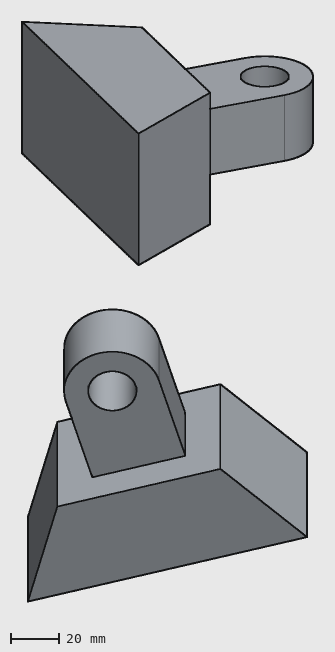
import cadquery as cq
import math

block_width = 120.0
block_height = 60.0
side_inset = 25.0
side_angle = 60.0
block_depth = side_inset * math.tan(math.radians(side_angle))

lug_length = 60.0
lug_width = block_width / 3
lug_thickness = block_height / 2
end_radius = lug_width / 2
hole_diameter = lug_width / 2
eye_y = block_depth + lug_length - end_radius


def make_block():
    half_front = block_width / 2
    half_back = half_front - side_inset
    return (
        cq.Workplane("XY")
        .polyline([
            (-half_front, 0),
            (half_front, 0),
            (half_back, block_depth),
            (-half_back, block_depth),
        ])
        .close()
        .extrude(block_height / 2, both=True)
    )


def make_lug():
    return (
        cq.Workplane("XY")
        .moveTo(-end_radius, block_depth)
        .lineTo(end_radius, block_depth)
        .lineTo(end_radius, eye_y)
        .threePointArc((0, eye_y + end_radius), (-end_radius, eye_y))
        .close()
        .extrude(lug_thickness / 2, both=True)
    )


def make_eye_hole():
    return (
        cq.Workplane("XY")
        .center(0, eye_y)
        .circle(hole_diameter / 2)
        .extrude(lug_thickness, both=True)
    )


result = make_block().union(make_lug()).cut(make_eye_hole())